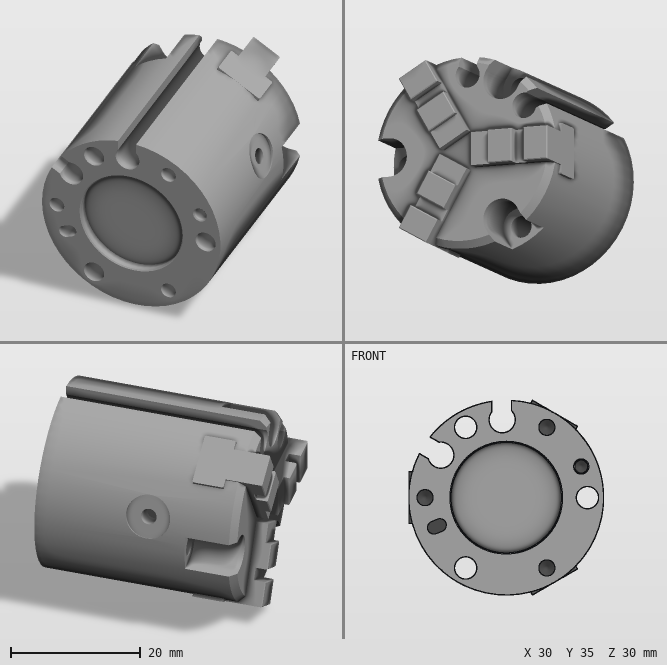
import cadquery as cq
import math


body_radius = 14.998
body_length = 32.2
rim_chamfer = 1.05
overall_length = 35.0

jaw_angles = [60, 180, 300]
stem_width = 5.18
base_width = 8.0
base_thickness = 5.0
base_start = 24.15
base_corner_fillet = 0.3
shoulder_chamfer = 0.18
stem_inner_radius = 2.0
base_inner_radius = 3.0
step_radius = 5.05
step_depth = 0.9
notch_radius = 10.05
notch_width = 1.95
notch_depth = 1.9
tooth_chamfer = 0.15

bolt_circle_radius = 12.5
bolt_angles = [0, 120, 240]
bolt_hole_diameter = 3.4
head_slot_width = 6.02
head_slot_depth = body_length - base_start
tapped_angles = [60, 180, 300]
tapped_diameter = 2.5
blind_depth = 5.95
drill_tip_angle = 118.0

locating_angle = 22.5
locating_diameter = 2.0
locating_chamfer = 0.18
locating_slot_radius = 11.55
locating_slot_length = 2.98

groove_mirror_angle = 120
groove_half_spread = 27
groove_radius = 12.0
groove_diameter = 4.0
mouth_tilt = 30
mouth_offset = 0.7
mouth_width = 3.0

port_angle = 20
port_height = 18.0
port_face_diameter = 7.07
port_face_radius = 14.5
port_hole_diameter = 2.5
port_hole_depth = 3.5

bore_radius = 8.5
bore_chamfer = 0.18
cover_recess = 1.7
cover_thickness = 2.0


def around_axis(shape, angle):
    """Turn a shape from the +X direction to the given angle about the Y axis."""
    return shape.rotate((0, 0, 0), (0, 1, 0), -angle)


def rod(diameter, start, length, radius=0.0):
    """Cylinder parallel to the axis, its centre on the X axis at the given radius."""
    return cq.Workplane("XZ", origin=(radius, start, 0)).circle(diameter / 2).extrude(-length)


def block(x_start, x_end, y_start, y_end, width):
    """Box centred on the XY plane, spanning the given X and Y ranges."""
    return cq.Workplane("XY").box(
        x_end - x_start, y_end - y_start, width, centered=(False, False, True)
    ).translate((x_start, y_start, 0))


def cone(large_diameter, small_diameter, start, length, radius):
    """Conical cutter parallel to the axis, narrowing towards +Y."""
    solid = cq.Solid.makeCone(
        large_diameter / 2, small_diameter / 2, length, cq.Vector(radius, start, 0), cq.Vector(0, 1, 0)
    )
    return cq.Workplane(obj=solid)


def drilled_hole(diameter):
    """Blind hole in the rear face with a conical drill tip."""
    tip_length = diameter / 2 / math.tan(math.radians(drill_tip_angle / 2))
    hole = rod(diameter, 0, blind_depth, bolt_circle_radius)
    return hole.union(cone(diameter, 0, blind_depth, tip_length, bolt_circle_radius))


def jaw_base(outer_radius):
    """Wide foot of the T, square at its corners."""
    return block(base_inner_radius, outer_radius, base_start, base_start + base_thickness, base_width)


def jaw_guide():
    """T-shaped way in the housing; it holds the jaw, runs out through the side and has broken shoulders."""
    outer = body_radius + 0.35
    base = jaw_base(outer)
    for side in (-1, 1):
        shoulder = (
            cq.Workplane("YZ", origin=(base_inner_radius, base_start + base_thickness, side * stem_width / 2))
            .polyline([(0, 0), (shoulder_chamfer, 0), (0, side * shoulder_chamfer)])
            .close()
            .extrude(outer - base_inner_radius)
        )
        base = base.union(shoulder)
    return base.union(block(stem_inner_radius, outer, base_start, overall_length, stem_width))


def make_jaw():
    """T-shaped jaw pointing along +X, with a notched and stepped gripping face."""
    stem = block(stem_inner_radius, body_radius, base_start, overall_length, stem_width)
    step = block(0, step_radius, overall_length - step_depth, overall_length, stem_width)
    notch = block(
        notch_radius - notch_width / 2,
        notch_radius + notch_width / 2,
        overall_length - notch_depth,
        overall_length,
        stem_width,
    )
    stem = stem.cut(step).cut(notch)
    stem = stem.faces(">Y").edges().chamfer(tooth_chamfer)
    base = jaw_base(body_radius).edges("|X").fillet(base_corner_fillet)
    return stem.union(base)


def bolt_hole():
    """Through hole with a round-bottomed head slot that opens sideways at the jaw end."""
    hole = rod(bolt_hole_diameter, 0, body_length, bolt_circle_radius)
    seat_start = body_length - head_slot_depth
    seat = rod(head_slot_width, seat_start, head_slot_depth, bolt_circle_radius)
    opening = block(bolt_circle_radius, body_radius + 0.35, seat_start, body_length, head_slot_width)
    return hole.union(seat).union(opening)


def locating_hole():
    """Blind hole with a chamfered mouth."""
    mouth_diameter = locating_diameter + 2 * locating_chamfer
    mouth = cone(mouth_diameter, locating_diameter, 0, locating_chamfer, bolt_circle_radius)
    return drilled_hole(locating_diameter).union(mouth)


def locating_slot():
    """Flat-bottomed slot stretched in the radial direction."""
    return (
        cq.Workplane("XZ", origin=(locating_slot_radius, 0, 0))
        .slot2D(locating_slot_length, locating_diameter)
        .extrude(-blind_depth)
    )


def sensor_groove(side):
    """Full-length round groove with a narrower tilted mouth; side is +1 or -1 about the mirror line."""
    round_part = around_axis(
        rod(groove_diameter, 0, body_length, groove_radius), groove_mirror_angle + side * groove_half_spread
    )
    mouth = block(groove_radius, body_radius + 0.35, 0, body_length, mouth_width)
    mouth = mouth.translate((0, 0, -side * mouth_offset))
    return round_part.union(around_axis(mouth, groove_mirror_angle + side * mouth_tilt))


def air_port():
    """Flat round seat sunk in the side with a radial air hole in its middle."""
    seat_plane = cq.Workplane("YZ", origin=(port_face_radius, port_height, 0))
    seat = seat_plane.circle(port_face_diameter / 2).extrude(body_radius - port_face_radius + 0.35)
    hole = seat_plane.circle(port_hole_diameter / 2).extrude(-port_hole_depth)
    return around_axis(seat.union(hole), port_angle)


def rear_bore():
    """Blind bore for the cover, chamfered at the rear face."""
    bore = rod(2 * bore_radius, 0, cover_recess + cover_thickness)
    return bore.union(cone(2 * (bore_radius + bore_chamfer), 2 * bore_radius, 0, bore_chamfer, 0))


def make_housing():
    body = rod(2 * body_radius, 0, body_length)
    body = body.faces(">Y").chamfer(rim_chamfer)
    for angle in jaw_angles:
        body = body.cut(around_axis(jaw_guide(), angle))
    for angle in bolt_angles:
        body = body.cut(around_axis(bolt_hole(), angle))
    for angle in tapped_angles:
        body = body.cut(around_axis(drilled_hole(tapped_diameter), angle))
    for side in (-1, 1):
        body = body.cut(sensor_groove(side))
    body = body.cut(around_axis(locating_hole(), locating_angle))
    body = body.cut(around_axis(locating_slot(), locating_angle + 180))
    return body.cut(air_port()).cut(rear_bore())


def make_cover():
    return rod(2 * bore_radius, cover_recess, cover_thickness)


housing = make_housing()
jaws = [around_axis(make_jaw(), angle) for angle in jaw_angles]
cover = make_cover()

result = cq.Compound.makeCompound([housing.val(), *[jaw.val() for jaw in jaws], cover.val()])